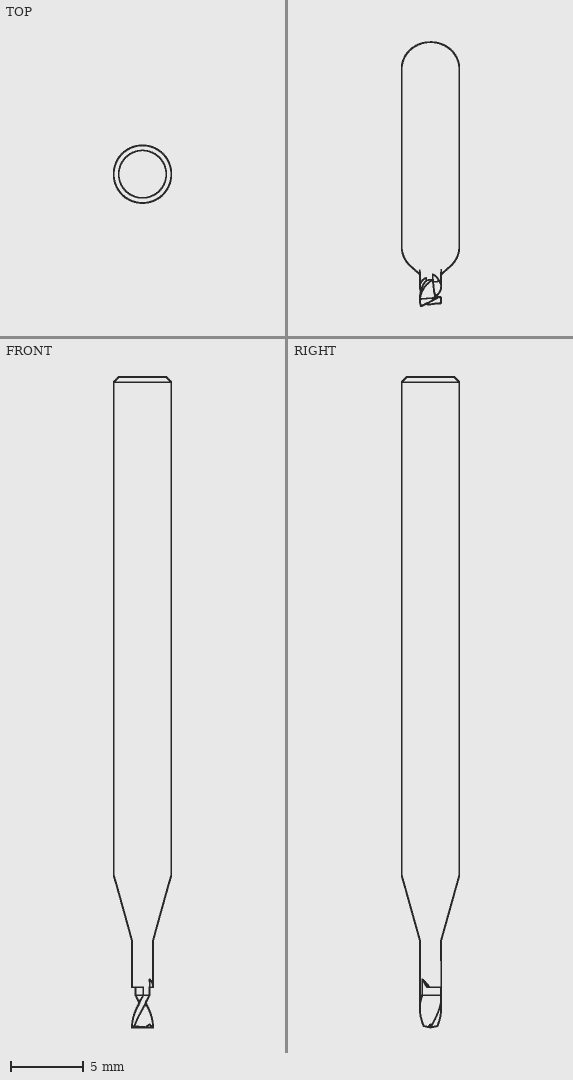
import cadquery as cq
import math

total_length = 45.0
shank_diameter = 4.0
shank_chamfer = 0.35
cone_top = 10.55
neck_top = 6.05

cutter_diameter = 1.5
flute_count = 2
cutting_length = 2.25
helix_pitch = 8.55
land_angle = 36.0
web_radius = 0.22
end_relief_angle = 12.0
gash_start = 0.2
gash_height = 0.4

runout_low_top = 2.8
runout_high_top = 3.35

shank_radius = shank_diameter / 2
cutter_radius = cutter_diameter / 2
flute_step = 360.0 / flute_count
cutting_twist = 360.0 * cutting_length / helix_pitch
clearance = cutter_diameter


def polar(radius, degrees):
    """Point in the XY plane at a radius and an angle from +X."""
    return (radius * math.cos(math.radians(degrees)), radius * math.sin(math.radians(degrees)))


heel_angle = land_angle - flute_step
flute_tip = polar(cutter_radius, 0)
flute_floor = polar(web_radius, heel_angle / 2)
flute_heel = polar(cutter_radius, heel_angle)


def around_axis(shape):
    """Copies of a shape, one for each flute."""
    return [shape.rotate((0, 0, 0), (0, 0, 1), i * flute_step) for i in range(flute_count)]


def tooth_section():
    """Cross-section with two round lands joined by two nearly flat flutes."""
    opposite_tip = polar(cutter_radius, flute_step)
    opposite_floor = polar(web_radius, heel_angle / 2 + flute_step)
    opposite_heel = polar(cutter_radius, land_angle)
    return (
        cq.Workplane("XY")
        .moveTo(*flute_tip)
        .threePointArc(polar(cutter_radius, land_angle / 2), opposite_heel)
        .threePointArc(opposite_floor, opposite_tip)
        .threePointArc(polar(cutter_radius, flute_step + land_angle / 2), flute_heel)
        .threePointArc(flute_floor, flute_tip)
        .close()
    )


def end_relief():
    """Two wedges that leave the end as a shallow roof with its ridge, the cutting edge, along X."""
    rise = clearance * math.tan(math.radians(end_relief_angle))
    return (
        cq.Workplane("YZ", origin=(-clearance, 0, 0))
        .polyline([(-clearance, rise), (0, 0), (clearance, rise), (clearance, -rise), (-clearance, -rise)])
        .close()
        .extrude(2 * clearance)
    )


def gash():
    """Triangular notch that opens the end of one flute in front of its cutting edge."""
    return (
        cq.Workplane("XZ")
        .polyline([(gash_start, 0), (cutter_radius, 0), (cutter_radius, gash_height)])
        .close()
        .extrude(clearance)
    )


def make_cutter():
    """Fluted cutting end with a right-hand helix."""
    cutter = tooth_section().twistExtrude(cutting_length, cutting_twist)
    for notch in around_axis(gash()):
        cutter = cutter.cut(notch)
    return cutter.cut(end_relief())


def flute_runout():
    """Continuation of one flute into the neck, with a flat top that slopes up near the heel."""
    space = (
        cq.Workplane("XY", origin=(0, 0, cutting_length))
        .moveTo(*flute_tip)
        .threePointArc(flute_floor, flute_heel)
        .lineTo(*polar(clearance, heel_angle))
        .threePointArc(polar(clearance, heel_angle / 2), polar(clearance, 0))
        .close()
        .extrude(runout_high_top - cutting_length)
    )
    half_chord = cutter_radius * math.sin(math.radians(-heel_angle / 2))
    runout_step = half_chord / 2
    chord_plane = cq.Plane(
        origin=(0, 0, 0),
        xDir=(*polar(1, heel_angle / 2 - 90), 0),
        normal=(*polar(1, heel_angle / 2 + 180), 0),
    )
    below_top = (
        cq.Workplane(chord_plane)
        .polyline([
            (-clearance, 0),
            (clearance, 0),
            (clearance, runout_high_top),
            (half_chord, runout_high_top),
            (runout_step, runout_low_top),
            (-clearance, runout_low_top),
        ])
        .close()
        .extrude(clearance, both=True)
    )
    return space.intersect(below_top).rotate((0, 0, 0), (0, 0, 1), cutting_twist)


def make_shank():
    """Round shank with a chamfered top, tapering to the neck where the flutes run out."""
    shank = (
        cq.Workplane("YZ")
        .polyline([
            (0, cutting_length),
            (-cutter_radius, cutting_length),
            (-cutter_radius, neck_top),
            (-shank_radius, cone_top),
            (-shank_radius, total_length - shank_chamfer),
            (-shank_radius + shank_chamfer, total_length),
            (0, total_length),
        ])
        .close()
        .revolve(360, (0, 0, 0), (0, 1, 0))
    )
    for runout in around_axis(flute_runout()):
        shank = shank.cut(runout)
    return shank


cutter = make_cutter()
shank = make_shank()

result = cq.Compound.makeCompound([shank.solids().val(), cutter.solids().val()])